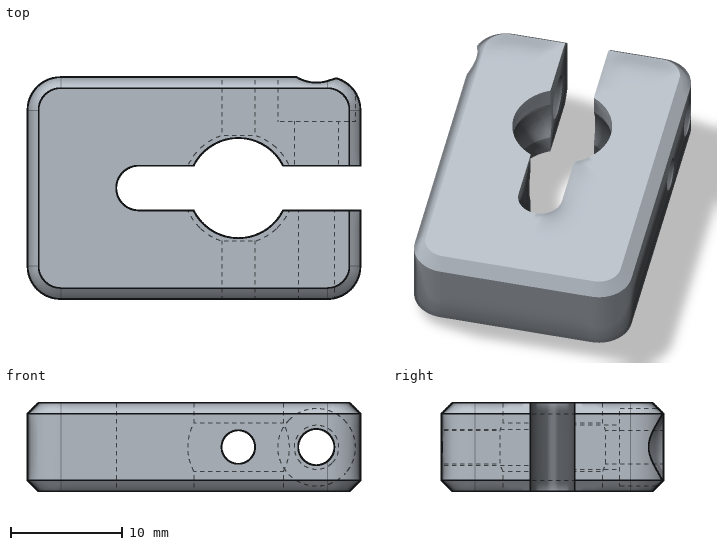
import cadquery as cq

length = 30.0
width = length * 2 / 3
height = width * 2 / 5
corner_radius = 3.0
edge_chamfer = height / 8

slot_width = height / 2
slot_end_x = -7.0
seat_x = 4.0
opening_diameter = 9.0
ball_diameter = 10.0

pin_diameter = 3.0
screw_x = 11.0
thread_diameter = 3.25
clearance_diameter = 4.0
head_diameter = 7.0
head_depth = 4.0


def make_block():
    """Rounded block with chamfered top and bottom edges."""
    block = cq.Workplane("XY").box(length, width, height).edges("|Z").fillet(corner_radius)
    return block.faces("<Z or >Z").edges().chamfer(edge_chamfer)


def make_keyhole():
    """Through slot with a round end, a round opening and a spherical seat."""
    end_centre_x = slot_end_x + slot_width / 2
    straight_length = length / 2 - end_centre_x
    slot = (
        cq.Workplane("XY")
        .box(straight_length, slot_width, height, centered=(False, True, True))
        .translate((end_centre_x, 0, 0))
    )
    slot_end = cq.Workplane("XY").cylinder(height, slot_width / 2).translate((end_centre_x, 0, 0))
    opening = cq.Workplane("XY").cylinder(height, opening_diameter / 2).translate((seat_x, 0, 0))
    ball = cq.Workplane("XY").sphere(ball_diameter / 2).translate((seat_x, 0, 0))
    return slot.union(slot_end).union(opening).union(ball)


def cross_hole(x, diameter, start_y, end_y):
    """Cylinder along Y between two Y positions."""
    return (
        cq.Workplane("XZ", origin=(x, start_y, 0))
        .circle(diameter / 2)
        .extrude(start_y - end_y)
    )


back_y = width / 2
front_y = -back_y

result = make_block().cut(make_keyhole())
result = result.cut(cross_hole(seat_x, pin_diameter, front_y, back_y))

result = result.cut(cross_hole(screw_x, thread_diameter, front_y, 0))
result = result.cut(cross_hole(screw_x, clearance_diameter, 0, back_y))
result = result.cut(cross_hole(screw_x, head_diameter, back_y - head_depth, back_y))